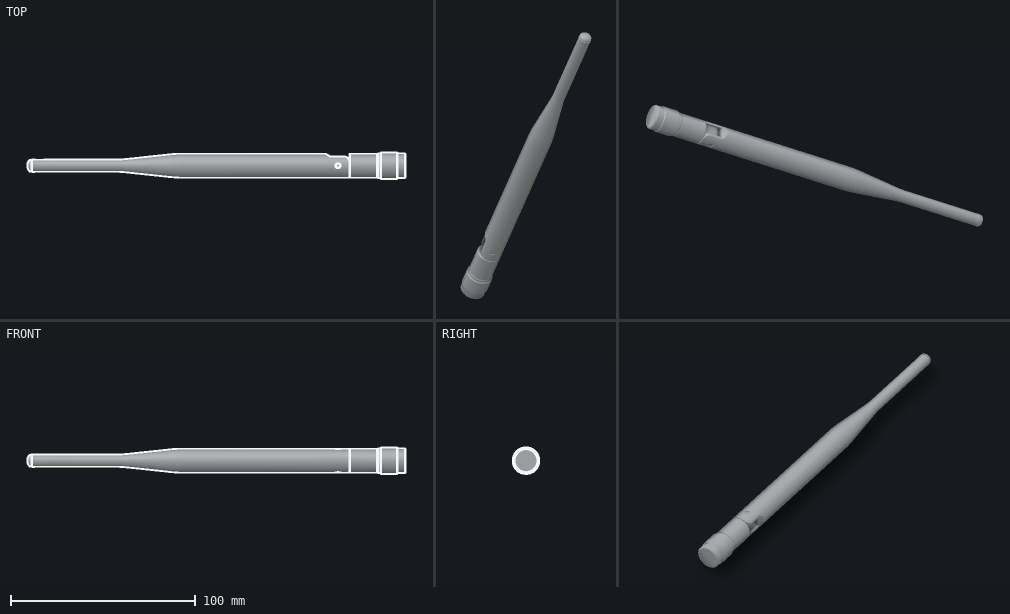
import cadquery as cq


dome_end = 2.1
lip_start = 2.6
lip_crest = 3.4
lip_end = 4.3
flare_start = 8.9
flare_end = 10.2
rod_end = 48.4
taper_start = 53.3
taper_end = 78.0
tube_start = 83.6
whip_end = 174.3
base_end = 189.2
collar_start = 191.1
collar_end = 200.6
nut_end = 204.9

tip_diameter = 6.7
tip_groove_diameter = 6.0
lip_diameter = 7.0
rod_diameter = 6.76
tube_diameter = 13.14
collar_diameter = 14.5
nut_diameter = 13.5

base_chamfer_length = 0.6
base_chamfer_depth = 0.5
nut_lead_length = 0.9
nut_lead_depth = 0.45
nut_end_chamfer = 0.6

hinge_x = 168.2
pin_diameter = 2.1
pin_recess_diameter = 2.9
pin_recess = 0.5
tongue_thickness = 6.0
tongue_reach = 4.0
notch_y = 5.1
notch_ramp_start = 161.3
notch_ramp_end = 163.9
prong_corner_radius = 3.0


def revolve_about_x(profile):
    """Revolve a closed (X, radius) profile about the X axis."""
    return profile.close().revolve(360, (0, 0, 0), (1, 0, 0))


def hinge_block(start, stop, y_low, y_high):
    """A slab in the middle of the hinge, as thick as the tongue."""
    return (
        cq.Workplane("XY")
        .box(stop - start, y_high - y_low, tongue_thickness, centered=False)
        .translate((start, y_low, -tongue_thickness / 2))
    )


def hinge_cylinder(diameter, half_length):
    """A cylinder along the hinge axis, centred on the X axis."""
    return (
        cq.Workplane("XY", origin=(hinge_x, 0, -half_length))
        .circle(diameter / 2)
        .extrude(2 * half_length)
    )


def make_whip_blank():
    tip_radius = tip_diameter / 2
    tip_groove_radius = tip_groove_diameter / 2
    rod_radius = rod_diameter / 2
    tube_radius = tube_diameter / 2

    first_corner_x = (rod_end + taper_start) / 2
    second_corner_x = (taper_end + tube_start) / 2
    slope = (tube_radius - rod_radius) / (second_corner_x - first_corner_x)
    taper_start_radius = rod_radius + slope * (taper_start - first_corner_x)
    taper_end_radius = rod_radius + slope * (taper_end - first_corner_x)

    return revolve_about_x(
        cq.Workplane("XY")
        .ellipseArc(dome_end, tip_radius, 90, 180, sense=-1, startAtCurrent=True)
        .lineTo(dome_end, tip_groove_radius)
        .lineTo(lip_start, tip_groove_radius)
        .lineTo(lip_start, tip_radius)
        .threePointArc((lip_crest, lip_diameter / 2), (lip_end, tip_radius))
        .lineTo(flare_start, tip_radius)
        .lineTo(flare_end, rod_radius)
        .lineTo(rod_end, rod_radius)
        .tangentArcPoint((taper_start, taper_start_radius), relative=False)
        .lineTo(taper_end, taper_end_radius)
        .tangentArcPoint((tube_start, tube_radius), relative=False)
        .lineTo(whip_end, tube_radius)
        .lineTo(whip_end, 0)
    )


def make_notch():
    """Relief on the +Y side that clears the base when it folds."""
    outside = tube_diameter
    prong_corner_start = whip_end - prong_corner_radius
    return (
        cq.Workplane("XY")
        .moveTo(notch_ramp_start, tube_diameter / 2)
        .lineTo(notch_ramp_end, notch_y)
        .lineTo(prong_corner_start, notch_y)
        .tangentArcPoint((whip_end, notch_y - prong_corner_radius), relative=False)
        .lineTo(whip_end, outside)
        .lineTo(notch_ramp_start, outside)
        .close()
        .extrude(outside, both=True)
    )


def make_whip():
    pin_half_length = tube_diameter / 2 - pin_recess
    slot = hinge_block(hinge_x - tongue_reach, whip_end, -tongue_reach, tube_diameter)
    pin_hole = hinge_cylinder(pin_diameter, pin_half_length)
    recesses = hinge_cylinder(pin_recess_diameter, tube_diameter).cut(
        hinge_cylinder(pin_recess_diameter, pin_half_length)
    )
    return make_whip_blank().cut(make_notch()).cut(slot).cut(pin_hole).cut(recesses)


def make_base():
    tube_radius = tube_diameter / 2
    sleeve = revolve_about_x(
        cq.Workplane("XY")
        .moveTo(whip_end, 0)
        .lineTo(whip_end, tube_radius - base_chamfer_depth)
        .lineTo(whip_end + base_chamfer_length, tube_radius)
        .lineTo(base_end, tube_radius)
        .lineTo(base_end, 0)
    )
    tongue = hinge_block(hinge_x, whip_end, -tongue_reach, tongue_reach)
    eye = hinge_cylinder(2 * tongue_reach, tongue_thickness / 2)
    pin = hinge_cylinder(pin_diameter, tube_radius - pin_recess)
    return sleeve.union(tongue).union(eye).union(pin)


def make_nut():
    nut_radius = nut_diameter / 2
    collar_radius = collar_diameter / 2
    flank = collar_radius - nut_radius
    return revolve_about_x(
        cq.Workplane("XY")
        .moveTo(base_end, 0)
        .lineTo(base_end, nut_radius - nut_lead_depth)
        .lineTo(base_end + nut_lead_length, nut_radius)
        .lineTo(collar_start, nut_radius)
        .lineTo(collar_start + flank, collar_radius)
        .lineTo(collar_end - flank, collar_radius)
        .lineTo(collar_end, nut_radius)
        .lineTo(nut_end - nut_end_chamfer, nut_radius)
        .lineTo(nut_end, nut_radius - nut_end_chamfer)
        .lineTo(nut_end, 0)
    )


whip = make_whip()
base = make_base()
nut = make_nut()

result = cq.Compound.makeCompound([body.solids().val() for body in (whip, base, nut)])